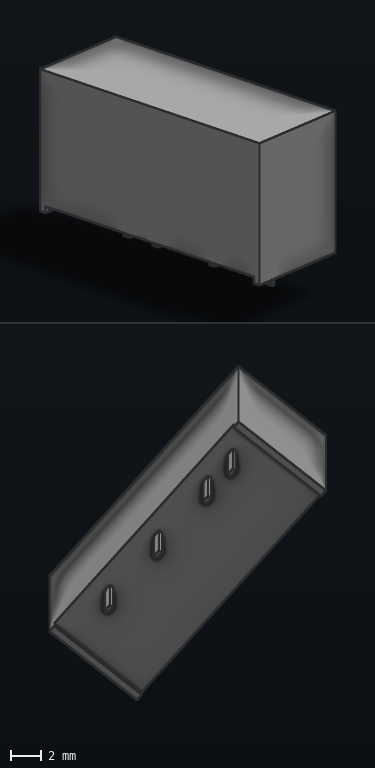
import cadquery as cq

length = 19.5
width = 7.6
total_height = 13.4

case_height = 10.2
foot_height = 0.47
foot_length = 0.5

pin_width = 0.5
pin_thickness = 0.25
pin_pitch = 2.54
first_pin_from_end = 2.1
pin_row_from_back = 1.19
pin_positions = (0, 1, 3, 5)
pin_embed = 0.2

case_bottom = total_height - case_height
recess_top = case_bottom + foot_height


def make_case():
    block = cq.Workplane("XY").box(length, width, case_height, centered=(True, True, False))
    recess = cq.Workplane("XY").box(
        length - 2 * foot_length, width, foot_height, centered=(True, True, False)
    )
    return block.cut(recess).translate((0, 0, case_bottom))


def make_pins():
    first_x = -length / 2 + first_pin_from_end
    row_y = width / 2 - pin_row_from_back
    centers = [(first_x + place * pin_pitch, row_y) for place in pin_positions]
    return (
        cq.Workplane("XY")
        .pushPoints(centers)
        .rect(pin_width, pin_thickness)
        .extrude(recess_top + pin_embed)
    )


result = make_case().union(make_pins())